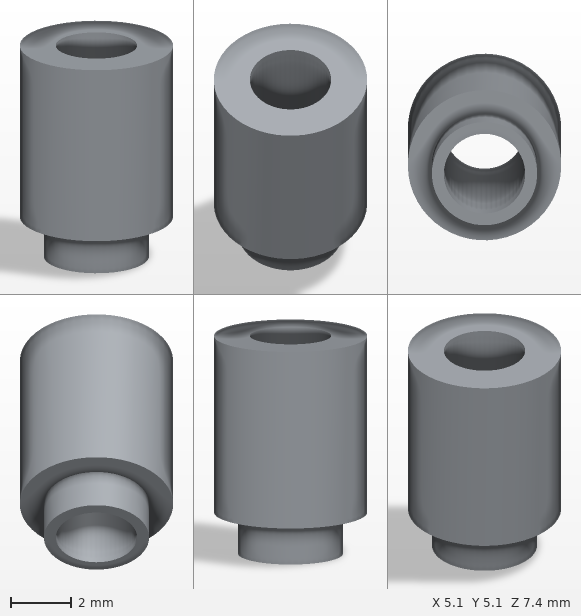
import cadquery as cq

total_height = 7.4
spigot_height = 1.4
body_diameter = 5.1
spigot_diameter = 3.5
bore_diameter = 2.7

body_height = total_height - spigot_height

spigot = cq.Workplane("XY").circle(spigot_diameter / 2).extrude(spigot_height)

body = (
    cq.Workplane("XY")
    .workplane(offset=spigot_height)
    .circle(body_diameter / 2)
    .extrude(body_height)
)

bore = cq.Workplane("XY").circle(bore_diameter / 2).extrude(total_height)

result = spigot.union(body).cut(bore)